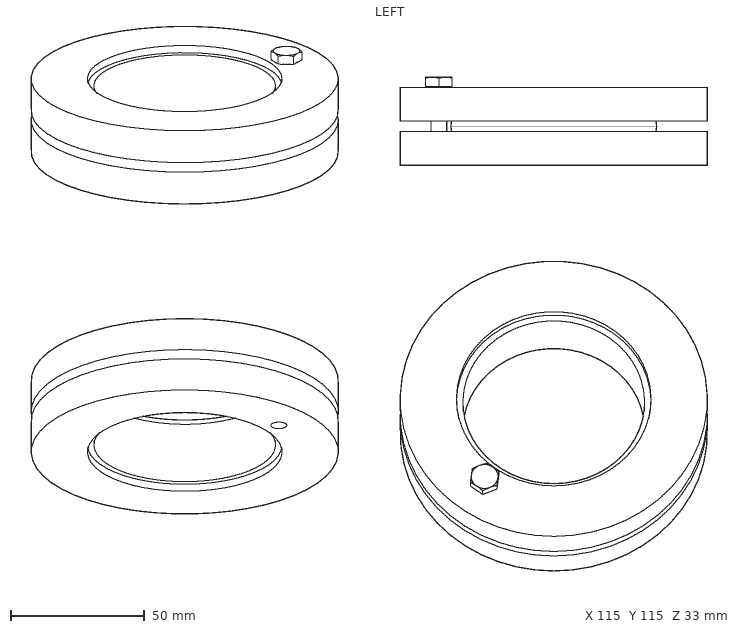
import cadquery as cq
import math

total_height = 33.0
head_height = 3.8

flange_diameter = 115.0
flange_gap = 3.8
flange_thickness = (total_height - head_height - flange_gap) / 2
flange_opening_diameter = 72.8
upper_flange_bottom = flange_thickness + flange_gap
upper_flange_top = upper_flange_bottom + flange_thickness

seal_bore_diameter = 68.0
seal_end_diameter = 74.0
seal_middle_diameter = 77.2
seal_end_recess = 2.9
seal_middle_height = upper_flange_top / 2

bolt_offset = 43.0
bolt_diameter = 6.0
head_width_across_flats = 10.0
head_corner_radius = head_width_across_flats / math.sqrt(3)
head_chamfer_angle = 30.0
washer_face_diameter = 8.7
washer_face_height = 0.2


def make_seal_blank():
    """Solid double cone, widest at mid-height, used for the ring and its seats."""
    end_radius = seal_end_diameter / 2
    top = upper_flange_top - seal_end_recess
    return (
        cq.Workplane("XZ")
        .moveTo(0, seal_end_recess)
        .lineTo(end_radius, seal_end_recess)
        .lineTo(seal_middle_diameter / 2, seal_middle_height)
        .lineTo(end_radius, top)
        .lineTo(0, top)
        .close()
        .revolve(360, (0, 0, 0), (0, 1, 0))
    )


def make_cylinder(diameter, bottom, height, offset=0.0):
    """Vertical cylinder standing at the given height and Y offset."""
    return (
        cq.Workplane("XY", origin=(0, offset, bottom))
        .circle(diameter / 2)
        .extrude(height)
    )


def make_flange(bottom):
    """Disc with a central opening, a conical seal seat and a bolt hole."""
    disc = make_cylinder(flange_diameter, bottom, flange_thickness)
    opening = make_cylinder(flange_opening_diameter, bottom, flange_thickness)
    bolt_hole = make_cylinder(bolt_diameter, bottom, flange_thickness, bolt_offset)
    return disc.cut(opening).cut(make_seal_blank()).cut(bolt_hole)


def make_seal_ring():
    """Double-cone ring with a straight bore."""
    return make_seal_blank().cut(make_cylinder(seal_bore_diameter, 0, upper_flange_top))


def make_head_envelope(bottom, height):
    """Cylinder over the hexagon corners, coned at the top down to the flats."""
    top_radius = head_width_across_flats / 2
    chamfer_drop = (head_corner_radius - top_radius) * math.tan(math.radians(head_chamfer_angle))
    return (
        cq.Workplane("XZ", origin=(0, bolt_offset, bottom))
        .lineTo(head_corner_radius, 0)
        .lineTo(head_corner_radius, height - chamfer_drop)
        .lineTo(top_radius, height)
        .lineTo(0, height)
        .close()
        .revolve(360, (0, 0, 0), (0, 1, 0))
    )


def make_bolt():
    """Plain shank through both flanges, washer face and chamfered hexagon head."""
    hexagon_bottom = upper_flange_top + washer_face_height
    hexagon_height = head_height - washer_face_height
    hexagon = (
        cq.Workplane("XY", origin=(0, bolt_offset, hexagon_bottom))
        .polygon(6, 2 * head_corner_radius)
        .extrude(hexagon_height)
        .intersect(make_head_envelope(hexagon_bottom, hexagon_height))
    )
    washer_face = make_cylinder(
        washer_face_diameter, upper_flange_top, washer_face_height, bolt_offset
    )
    shank = make_cylinder(bolt_diameter, 0, upper_flange_top, bolt_offset)
    return shank.union(washer_face).union(hexagon)


flanges = [make_flange(bottom) for bottom in (0, upper_flange_bottom)]
seal_ring = make_seal_ring()
bolt = make_bolt()

result = cq.Compound.makeCompound(
    [*[flange.val() for flange in flanges], seal_ring.val(), bolt.val()]
)